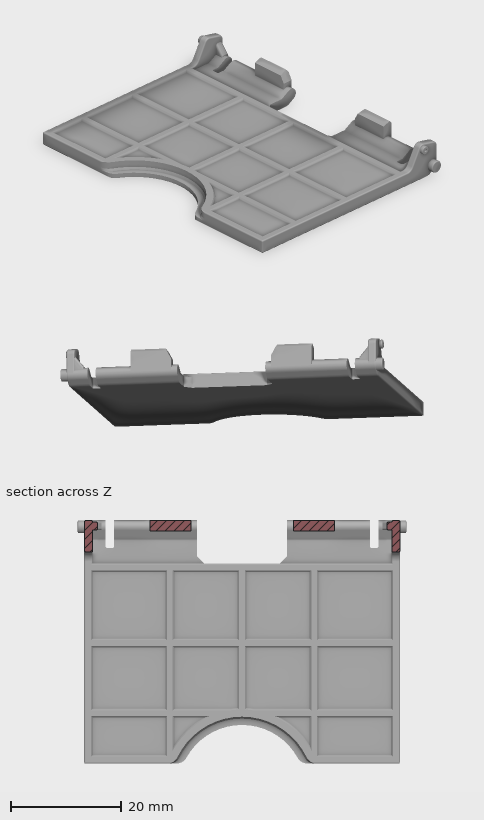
import cadquery as cq
import math

OVERALL_WIDTH = 59.52
PANEL_WIDTH = 57.2
PANEL_THICKNESS = 2.6
OVERALL_DEPTH = 44.11
PANEL_DEPTH = 36.3
RIM_WIDTH = 1.25
EDGE_ROUND = 0.25
HALF_WIDTH = PANEL_WIDTH / 2
INNER_HALF_WIDTH = HALF_WIDTH - RIM_WIDTH

RIB_WIDTH = 1.0
OUTER_COLUMN_EDGE = 13.55
POCKET_ROWS = ((1.25, 8.65), (9.65, 21.35), (22.35, 35.0))
POCKET_WALL_INSET = 0.33
POCKET_DEPTH = 0.4
POCKET_DRAFT = math.degrees(math.atan(POCKET_WALL_INSET / POCKET_DEPTH))

CUTOUT_CENTRE_Y = -4.5
CUTOUT_RADIUS = 11.5
LEDGE_RADIUS = 13.0
CUTOUT_RIM_RADIUS = 14.3
CUTOUT_FLARE_RADIUS = 2.1
LEDGE_Z = 0.87
LEDGE_CHAMFER_WIDTH = 0.35
LEDGE_CHAMFER_HEIGHT = 0.4

BARREL_RADIUS = 1.2
PIN_RADIUS = 1.15
PIN_TIP_X = OVERALL_WIDTH / 2
PIN_Y = OVERALL_DEPTH - BARREL_RADIUS
PIN_Z = 1.95
PIN_TIP_ROUND = 0.2

EAR_THICKNESS = 1.5
EAR_INNER_X = HALF_WIDTH - EAR_THICKNESS
EAR_HEIGHT = 7.09
EAR_TOP_RADIUS = 1.09
EAR_FRONT_ANGLE = math.radians(61.4)
EAR_TOP_ANGLE = math.radians(11.7)
EAR_BACK_RADIUS = 1.0
EAR_BASE_RADIUS = 1.4

STUD_Y = 40.6
STUD_Z = EAR_HEIGHT - EAR_TOP_RADIUS
STUD_RADIUS = 0.8
STUD_LENGTH = 0.65
STUD_TIP_ROUND = 0.15
STUD_DIMPLE_RADIUS = 0.3
STUD_DIMPLE_DEPTH = 0.3

SHELF_THICKNESS = 1.95
RAMP_ANGLE = math.radians(31)
UNDERSIDE_RADIUS = 2.0
RAMP_FOOT_RADIUS = 0.45
SHELF_INNER_X = 8.15
NOTCH_CHAMFER = 1.25

SLOT_INNER_X = 23.2
SLOT_OUTER_X = 24.7
SLOT_FRONT_Y = 39.05
SLOT_CORNER_RADIUS = 0.3

HOOK_OUTER_X = 16.75
HOOK_INNER_X = 9.25
HOOK_TOP_INNER_X = 10.3
HOOK_SIDE_Z = 4.1
HOOK_TOP_Z = 6.06
HOOK_FRONT_Z = 5.5
HOOK_FRONT_Y = 42.1
HOOK_TOP_Y = 43.65

GUSSET_FRONT_Y = 42.3
GUSSET_BACK_Y = 43.9
GUSSET_REACH = 1.6
GUSSET_TOP_Z = 5.2
GUSSET_FOOT_Z = 3.3
GUSSET_EDGE_ROUND = 0.4


def on_circle(centre, radius, angle):
    """Point on a circle at an angle measured from the first axis."""
    return (centre[0] + radius * math.cos(angle), centre[1] + radius * math.sin(angle))


def box(x_range, y_range, z_range):
    lengths = [high - low for low, high in (x_range, y_range, z_range)]
    corner = (x_range[0], y_range[0], z_range[0])
    return cq.Workplane("XY").box(*lengths, centered=False).translate(corner)


def extrude_along_x(profile, x_start, x_end):
    return profile.extrude(x_end - x_start).translate((x_start, 0, 0))


def mirrored(part):
    """The part joined with its mirror image across X = 0."""
    return part.union(part.mirror("YZ"))


PIN_AXIS = (PIN_Y, PIN_Z)
UNDERSIDE_TANGENT = on_circle(PIN_AXIS, BARREL_RADIUS, RAMP_ANGLE - math.pi / 2)
UNDERSIDE_CORNER_Y = UNDERSIDE_TANGENT[0] - UNDERSIDE_TANGENT[1] / math.tan(RAMP_ANGLE)


def round_underside(part):
    corner = cq.selectors.NearestToPointSelector((HALF_WIDTH - EAR_THICKNESS / 2, UNDERSIDE_CORNER_Y, 0))
    return part.edges("|X").edges(corner).fillet(UNDERSIDE_RADIUS)


def ear():
    """Upright plate with a rounded top, continuing down to the underside of the panel."""
    stud_axis = (STUD_Y, STUD_Z)
    front_tangent = on_circle(stud_axis, EAR_TOP_RADIUS, math.pi / 2 + EAR_FRONT_ANGLE)
    crown = on_circle(stud_axis, EAR_TOP_RADIUS, math.pi / 2)
    top_tangent = on_circle(stud_axis, EAR_TOP_RADIUS, math.pi / 2 - EAR_TOP_ANGLE)
    rise = front_tangent[1] - PANEL_THICKNESS
    base_y = front_tangent[0] - rise / math.tan(EAR_FRONT_ANGLE)
    back_top_z = top_tangent[1] - (OVERALL_DEPTH - top_tangent[0]) * math.tan(EAR_TOP_ANGLE)
    profile = (
        cq.Workplane("YZ")
        .moveTo(PANEL_DEPTH - RIM_WIDTH, 0)
        .lineTo(PANEL_DEPTH - RIM_WIDTH, PANEL_THICKNESS)
        .lineTo(base_y, PANEL_THICKNESS)
        .lineTo(*front_tangent)
        .threePointArc(crown, top_tangent)
        .lineTo(OVERALL_DEPTH, back_top_z)
        .lineTo(OVERALL_DEPTH, PIN_Z)
        .threePointArc(on_circle(PIN_AXIS, BARREL_RADIUS, (RAMP_ANGLE - math.pi / 2) / 2), UNDERSIDE_TANGENT)
        .lineTo(UNDERSIDE_CORNER_Y, 0)
        .close()
    )
    plate = extrude_along_x(profile, EAR_INNER_X, HALF_WIDTH)
    middle_x = HALF_WIDTH - EAR_THICKNESS / 2
    back_corner = cq.selectors.NearestToPointSelector((middle_x, OVERALL_DEPTH, back_top_z))
    base_corner = cq.selectors.NearestToPointSelector((middle_x, base_y, PANEL_THICKNESS))
    plate = plate.edges(back_corner).fillet(EAR_BACK_RADIUS)
    plate = plate.edges(base_corner).fillet(EAR_BASE_RADIUS)
    plate = round_underside(plate)
    plate = plate.faces(">X").edges().fillet(EDGE_ROUND)
    raised_edges = cq.selectors.BoxSelector(
        (EAR_INNER_X - EDGE_ROUND, base_y - EAR_BASE_RADIUS, PANEL_THICKNESS),
        (EAR_INNER_X + EDGE_ROUND, OVERALL_DEPTH + EDGE_ROUND, EAR_HEIGHT),
    )
    return plate.faces("<X").edges(raised_edges).fillet(EDGE_ROUND)


def shelf():
    """Thin plate behind the panel that ramps up to the barrel, with a slot beside the ear."""
    ramp_tangent = on_circle(PIN_AXIS, BARREL_RADIUS, RAMP_ANGLE + math.pi / 2)
    rise = ramp_tangent[1] - SHELF_THICKNESS
    ramp_foot_y = ramp_tangent[0] - rise / math.tan(RAMP_ANGLE)
    profile = (
        cq.Workplane("YZ")
        .moveTo(PANEL_DEPTH - RIM_WIDTH, 0)
        .lineTo(PANEL_DEPTH - RIM_WIDTH, SHELF_THICKNESS)
        .lineTo(ramp_foot_y, SHELF_THICKNESS)
        .lineTo(*ramp_tangent)
        .threePointArc((OVERALL_DEPTH, PIN_Z), UNDERSIDE_TANGENT)
        .lineTo(UNDERSIDE_CORNER_Y, 0)
        .close()
    )
    plate = round_underside(extrude_along_x(profile, SHELF_INNER_X, EAR_INNER_X + EDGE_ROUND))
    middle_x = (SHELF_INNER_X + EAR_INNER_X + EDGE_ROUND) / 2
    ramp_foot = cq.selectors.NearestToPointSelector((middle_x, ramp_foot_y, SHELF_THICKNESS))
    plate = plate.edges(ramp_foot).fillet(RAMP_FOOT_RADIUS)
    notch_corner = (
        cq.Workplane("XY")
        .moveTo(SHELF_INNER_X, PANEL_DEPTH)
        .lineTo(SHELF_INNER_X - NOTCH_CHAMFER, PANEL_DEPTH)
        .lineTo(SHELF_INNER_X, PANEL_DEPTH + NOTCH_CHAMFER)
        .close()
        .extrude(SHELF_THICKNESS)
    )
    slot = (
        box((SLOT_INNER_X, SLOT_OUTER_X), (SLOT_FRONT_Y, OVERALL_DEPTH), (0, EAR_HEIGHT))
        .edges("|Z and <Y")
        .fillet(SLOT_CORNER_RADIUS)
    )
    return plate.union(notch_corner).cut(slot)


def hook():
    """Latch block on the barrel, with sloping top, back edge and inner side."""
    side_profile = (
        cq.Workplane("YZ")
        .moveTo(HOOK_FRONT_Y, PIN_Z)
        .lineTo(HOOK_FRONT_Y, HOOK_FRONT_Z)
        .lineTo(HOOK_TOP_Y, HOOK_TOP_Z)
        .lineTo(OVERALL_DEPTH, HOOK_FRONT_Z)
        .lineTo(OVERALL_DEPTH, PIN_Z)
        .close()
    )
    front_profile = (
        cq.Workplane("XZ")
        .moveTo(HOOK_INNER_X, 0)
        .lineTo(HOOK_INNER_X, HOOK_SIDE_Z)
        .lineTo(HOOK_TOP_INNER_X, HOOK_TOP_Z)
        .lineTo(HOOK_OUTER_X, HOOK_TOP_Z)
        .lineTo(HOOK_OUTER_X, 0)
        .close()
        .extrude(-OVERALL_DEPTH)
    )
    return extrude_along_x(side_profile, HOOK_INNER_X, HOOK_OUTER_X).intersect(front_profile)


def gusset():
    """Sloping brace between ear and barrel, rounded along its sloping edges."""
    return (
        cq.Workplane("XZ")
        .moveTo(EAR_INNER_X + EDGE_ROUND, PIN_Z)
        .lineTo(EAR_INNER_X + EDGE_ROUND, GUSSET_TOP_Z)
        .lineTo(EAR_INNER_X, GUSSET_TOP_Z)
        .lineTo(EAR_INNER_X - GUSSET_REACH, GUSSET_FOOT_Z)
        .lineTo(EAR_INNER_X - GUSSET_REACH, PIN_Z)
        .close()
        .extrude(GUSSET_FRONT_Y - GUSSET_BACK_Y)
        .translate((0, GUSSET_FRONT_Y, 0))
        .edges("not (|Y or |X or |Z)")
        .fillet(GUSSET_EDGE_ROUND)
    )


def pins():
    """Hinge pin and dimpled detent stud on the outer face of the ear."""
    pin = cq.Workplane("YZ").center(PIN_Y, PIN_Z).circle(PIN_RADIUS)
    stud = cq.Workplane("YZ").center(STUD_Y, STUD_Z).circle(STUD_RADIUS)
    root_x = HALF_WIDTH - EAR_THICKNESS / 2
    pin = extrude_along_x(pin, root_x, PIN_TIP_X)
    stud = extrude_along_x(stud, root_x, HALF_WIDTH + STUD_LENGTH)
    pin = pin.faces(">X").edges().fillet(PIN_TIP_ROUND)
    stud = stud.faces(">X").edges().fillet(STUD_TIP_ROUND)
    stud = stud.faces(">X").workplane().hole(2 * STUD_DIMPLE_RADIUS, STUD_DIMPLE_DEPTH)
    return pin.union(stud)


def panel():
    """Plain plate with rounded edges; the lower back edge stays sharp to meet the shelf."""
    slab = box((-HALF_WIDTH, HALF_WIDTH), (0, PANEL_DEPTH), (0, PANEL_THICKNESS))
    slab = slab.edges("|Z and <Y").fillet(EDGE_ROUND)
    return slab.faces("<Z or >Z").edges("not (>Y and <Z)").fillet(EDGE_ROUND)


def cutout_wire(radius, z):
    """Closed outline of the finger cutout: an arc flared into the front edge on both sides."""
    flare = CUTOUT_FLARE_RADIUS
    flare_x = math.sqrt((radius + flare) ** 2 - (flare - CUTOUT_CENTRE_Y) ** 2)
    arc_angle = math.atan2(flare - CUTOUT_CENTRE_Y, flare_x)
    arc_end = on_circle((0, CUTOUT_CENTRE_Y), radius, arc_angle)
    flare_middle = on_circle((flare_x, flare), flare, (arc_angle - math.pi - math.pi / 2) / 2)
    outline = (
        cq.Workplane("XY", origin=(0, 0, z))
        .moveTo(-flare_x, CUTOUT_CENTRE_Y)
        .lineTo(-flare_x, 0)
        .threePointArc((-flare_middle[0], flare_middle[1]), (-arc_end[0], arc_end[1]))
        .threePointArc((0, CUTOUT_CENTRE_Y + radius), arc_end)
        .threePointArc(flare_middle, (flare_x, 0))
        .lineTo(flare_x, CUTOUT_CENTRE_Y)
        .close()
    )
    return outline.val()


def cutout_prism(radius, z):
    return cq.Solid.extrudeLinear(cutout_wire(radius, z), [], cq.Vector(0, 0, PANEL_THICKNESS))


def finger_cutout():
    """Through cutout, flat ledge, chamfer at the foot of the wall, and wall above it."""
    chamfer_top_z = LEDGE_Z + LEDGE_CHAMFER_HEIGHT
    chamfer_foot_radius = LEDGE_RADIUS - LEDGE_CHAMFER_WIDTH
    ledge_chamfer = cq.Solid.makeLoft(
        [cutout_wire(chamfer_foot_radius, LEDGE_Z), cutout_wire(LEDGE_RADIUS, chamfer_top_z)], True
    )
    above_ledge = cutout_prism(LEDGE_RADIUS, chamfer_top_z)
    return cq.Workplane(cutout_prism(CUTOUT_RADIUS, 0)).union(ledge_chamfer).union(above_ledge)


def pocket(x_range, y_range):
    return (
        cq.Workplane("XY", origin=(0, 0, PANEL_THICKNESS))
        .center(sum(x_range) / 2, sum(y_range) / 2)
        .rect(x_range[1] - x_range[0], y_range[1] - y_range[0])
        .extrude(-POCKET_DEPTH, taper=POCKET_DRAFT)
    )


def pockets():
    """Drafted pockets, kept clear of the rim that follows the finger cutout."""
    inner_column = (RIB_WIDTH / 2, OUTER_COLUMN_EDGE - RIB_WIDTH)
    outer_column = (OUTER_COLUMN_EDGE, INNER_HALF_WIDTH)
    cuts = cq.Workplane("XY")
    for column in (inner_column, outer_column):
        for row in POCKET_ROWS:
            cuts = cuts.union(pocket(column, row))
    cutout_rim = (
        cq.Workplane("XY", origin=(0, CUTOUT_CENTRE_Y, PANEL_THICKNESS - POCKET_DEPTH))
        .circle(CUTOUT_RIM_RADIUS + POCKET_WALL_INSET)
        .extrude(POCKET_DEPTH, taper=POCKET_DRAFT)
    )
    return mirrored(cuts.cut(cutout_rim))


side_parts = ear().union(shelf()).union(hook()).union(gusset()).union(pins())
result = panel().cut(pockets()).union(mirrored(side_parts)).cut(finger_cutout())